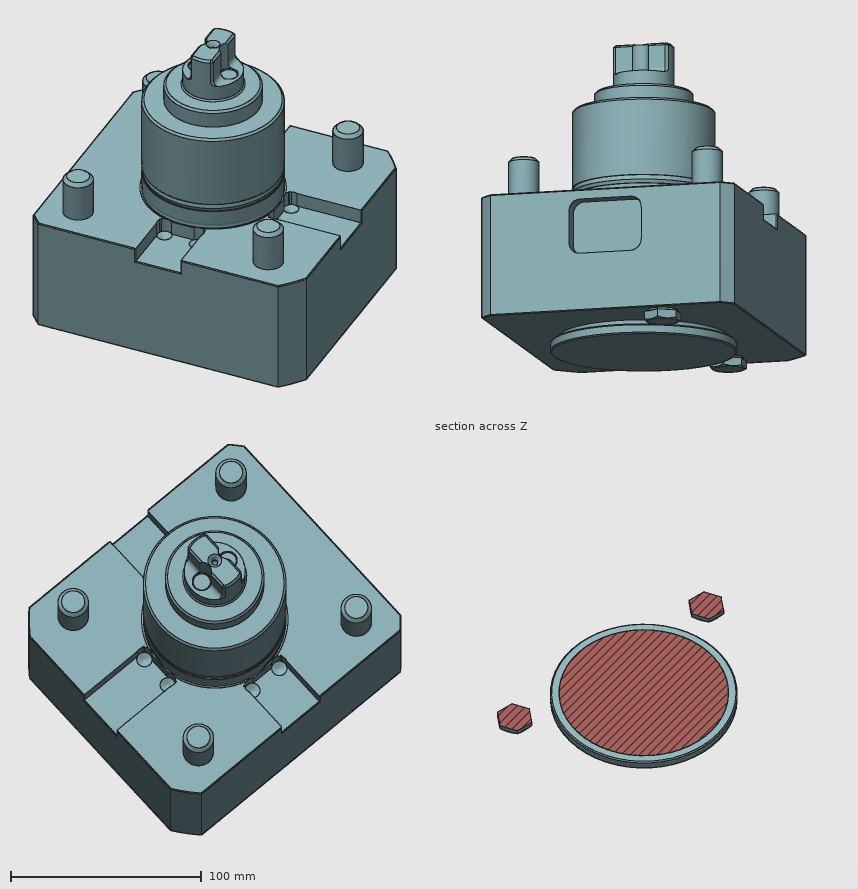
import cadquery as cq
import math


block_left = 75.1
block_right = 79.9
block_depth = 138.0
block_height = 64.8
corner_radius = 97.7
edge_chamfer = 0.5
overall_height = 164.0

slot_width = 26.0
slot_depth = 8.0
slot_inner_end = 38.0
relief_diameter = 8.0
relief_offset = 9.3
relief_reach = 40.8
drill_point_angle = 118.0

pocket_width = 39.4
pocket_height = 29.0
pocket_depth = 8.2
pocket_corner_radius = 6.0
pocket_top_gap = 5.1

pin_diameter = 16.0
pin_height = 22.5
pin_chamfer = 2.0
pin_x = 55.0
pin_y = 50.0

seat_diameter = 76.9
seat_depth = 0.3
body_diameter = 75.0
body_top = 56.1
body_chamfer = 1.1
undercut_diameter = 74.6
undercut_bottom = 0.7
undercut_top = 1.5
undercut_chamfer = 0.7
ring_groove_bottom = 10.2
ring_groove_top = 14.6
ring_crest = 12.1
ring_groove_diameter = 73.6
collar_diameter = 51.8
collar_top = 66.0
collar_chamfer = 1.1

shaft_diameter = 32.0
shaft_flare = 0.8
shoulder_top = 75.0
tang_top = 91.0
tang_width = 13.1
tang_fillet = 2.8
tang_chamfer = 1.1
tang_flat_half_length = 13.5
tang_corner_slope = 0.7
tang_hole_diameter = 10.0
tang_hole_offset = 9.0
tang_hole_depth = 0.7
tang_hole_bevel = 0.5
center_countersink_diameter = 7.2
center_cone_diameter = 5.0
center_pilot_diameter = 3.0
center_cone_angle = 60.0
center_pilot_depth = 4.3

neck_diameter = 89.0
flange_diameter = 98.0
flange_thickness = 5.2
flange_chamfer = 0.7

plug_x = 64.0
plug_y = -28.2
plug_washer_diameter = 16.0
plug_washer_height = 1.1
plug_flats = 17.0
plug_hex_height = 5.0
plug_bevel_height = 1.0

overlap = 1.6

block_bottom = -block_height
flange_bottom = tang_top - overall_height
flange_top = flange_bottom + flange_thickness


def cylinder(diameter, bottom, top):
    return cq.Workplane("XY").workplane(offset=bottom).circle(diameter / 2).extrude(top - bottom)


def make_slot():
    """Keyway opening to +X, with a relief hole in each inner corner."""
    length = block_depth - slot_inner_end
    slot = cq.Workplane("XY").box(length, slot_width, slot_depth, centered=(False, True, False))
    slot = slot.translate((slot_inner_end, 0, -slot_depth))
    radius = relief_diameter / 2
    point_depth = radius / math.tan(math.radians(drill_point_angle / 2))
    relief = (
        cq.Workplane("XZ")
        .polyline([(0, 0), (radius, 0), (radius, -slot_depth), (0, -slot_depth - point_depth)])
        .close()
        .revolve(360, (0, 0), (0, 1))
    )
    for side in (-1, 1):
        slot = slot.union(relief.translate((relief_reach, side * relief_offset, 0)))
    return slot


def make_block():
    block = (
        cq.Workplane("XY")
        .box(block_left + block_right, block_depth, block_height)
        .translate(((block_right - block_left) / 2, 0, block_bottom / 2))
        .intersect(cylinder(2 * corner_radius, block_bottom, 0))
    )
    slot = make_slot()
    for angle in (-90, 0, 90):
        block = block.cut(slot.rotate((0, 0, 0), (0, 0, 1), angle))

    def is_outer_rim(edge):
        """True for outer edges, including the slot mouths, but not for the tall corner edges."""
        center = edge.Center()
        reach = math.hypot(center.x, center.y)
        return reach > block_depth / 2 - edge_chamfer and edge.BoundingBox().zlen < block_height / 2

    block = block.edges().filter(is_outer_rim).chamfer(edge_chamfer)

    pocket = (
        cq.Workplane("XY")
        .box(pocket_depth, pocket_width, pocket_height, centered=(False, True, False))
        .edges("|X")
        .fillet(pocket_corner_radius)
        .translate((-block_left, 0, -pocket_top_gap - pocket_height))
    )
    seat = cylinder(seat_diameter, -seat_depth, 0)
    return block.cut(pocket).cut(seat)


def make_pins():
    pin = cylinder(pin_diameter, -overlap, pin_height).faces(">Z").chamfer(pin_chamfer)
    centers = [(x, y, 0) for x in (-pin_x, pin_x) for y in (-pin_y, pin_y)]
    return [pin.translate(center) for center in centers]


def make_spindle_housing():
    """Stepped body with a sealing ring of ridged section in its groove."""
    body_radius = body_diameter / 2
    undercut_radius = undercut_diameter / 2
    groove_radius = ring_groove_diameter / 2
    collar_radius = collar_diameter / 2
    return (
        cq.Workplane("XZ")
        .moveTo(0, -seat_depth - overlap)
        .lineTo(body_radius, -seat_depth - overlap)
        .lineTo(body_radius, undercut_bottom - undercut_chamfer)
        .lineTo(undercut_radius, undercut_bottom)
        .lineTo(undercut_radius, undercut_top)
        .lineTo(body_radius, undercut_top + undercut_chamfer)
        .lineTo(body_radius, ring_groove_bottom)
        .lineTo(groove_radius, ring_groove_bottom)
        .lineTo(body_radius, ring_crest)
        .lineTo(groove_radius, ring_groove_top)
        .lineTo(body_radius, ring_groove_top)
        .lineTo(body_radius, body_top - body_chamfer)
        .lineTo(body_radius - body_chamfer, body_top)
        .lineTo(collar_radius, body_top)
        .lineTo(collar_radius, collar_top - collar_chamfer)
        .lineTo(collar_radius - collar_chamfer, collar_top)
        .lineTo(0, collar_top)
        .close()
        .revolve(360, (0, 0), (0, 1))
    )


def make_center_hole():
    """Countersunk center drilling in the end of the tang."""
    countersink_radius = center_countersink_diameter / 2
    cone_radius = center_cone_diameter / 2
    pilot_radius = center_pilot_diameter / 2
    cone_top = tang_top - (countersink_radius - cone_radius)
    cone_bottom = cone_top - (cone_radius - pilot_radius) / math.tan(math.radians(center_cone_angle / 2))
    return (
        cq.Workplane("XZ")
        .moveTo(0, tang_top)
        .lineTo(countersink_radius, tang_top)
        .lineTo(cone_radius, cone_top)
        .lineTo(pilot_radius, cone_bottom)
        .lineTo(pilot_radius, tang_top - center_pilot_depth)
        .lineTo(0, tang_top - center_pilot_depth - pilot_radius)
        .close()
        .revolve(360, (0, 0), (0, 1))
    )


def make_tang_side(y, inset):
    """Outline at y of the space beside the tang, with the foot fillet, moved inwards by inset."""
    half_tang = tang_width / 2 - inset
    return (
        cq.Workplane("XZ", origin=(0, y, 0))
        .moveTo(half_tang - tang_chamfer, tang_top)
        .lineTo(half_tang, tang_top - tang_chamfer)
        .lineTo(half_tang, shoulder_top + tang_fillet)
        .radiusArc((half_tang + tang_fillet, shoulder_top), -tang_fillet)
        .lineTo(shaft_diameter, shoulder_top)
        .lineTo(shaft_diameter, tang_top)
        .close()
    )


def make_drive_shaft():
    shaft_radius = shaft_diameter / 2
    shaft = cylinder(shaft_diameter, collar_top - overlap, tang_top)
    shaft = shaft.faces(">Z").chamfer(tang_chamfer)
    flare = cq.Solid.makeCone(
        shaft_radius + shaft_flare, shaft_radius, shaft_flare, cq.Vector(0, 0, collar_top)
    )
    shaft = shaft.union(cq.Workplane(flare))

    side_cut = make_tang_side(0, 0).extrude(shaft_radius, both=True)
    bevel_length = shaft_radius - tang_flat_half_length
    for end in (-1, 1):
        start = make_tang_side(end * tang_flat_half_length, 0).val()
        finish = make_tang_side(end * shaft_radius, tang_corner_slope * bevel_length).val()
        side_cut = side_cut.union(cq.Workplane(cq.Solid.makeLoft([start, finish], True)))
    hole = cylinder(tang_hole_diameter, shoulder_top - tang_hole_depth, tang_top)
    hole = hole.faces("<Z").chamfer(tang_hole_bevel).translate((tang_hole_offset, 0, 0))
    side_cut = side_cut.union(hole)
    shaft = shaft.cut(side_cut).cut(side_cut.mirror("YZ"))
    return shaft.cut(make_center_hole())


def make_cover():
    neck = cylinder(neck_diameter, flange_top, block_bottom + overlap)
    flange = cylinder(flange_diameter, flange_bottom, flange_top).edges().chamfer(flange_chamfer)
    return neck.union(flange)


def make_plugs():
    """Hexagon heads with a washer face and corners turned off at the end."""
    corners = plug_flats / math.cos(math.radians(30))
    hex_top = block_bottom - plug_washer_height
    hex_bottom = hex_top - plug_hex_height
    turned = cylinder(corners, hex_bottom, hex_top)
    bevel_width = (corners - plug_washer_diameter) / 2
    turned = turned.faces("<Z").chamfer(plug_bevel_height, bevel_width)
    head = (
        cq.Workplane("XY")
        .workplane(offset=hex_bottom)
        .polygon(6, corners)
        .extrude(plug_hex_height)
        .intersect(turned)
    )
    plug = head.union(cylinder(plug_washer_diameter, hex_top, block_bottom + overlap))
    return [plug.translate((x, plug_y, 0)) for x in (-plug_x, plug_x)]


result = make_block()
for feature in [*make_pins(), make_spindle_housing(), make_drive_shaft(), make_cover(), *make_plugs()]:
    result = result.union(feature)